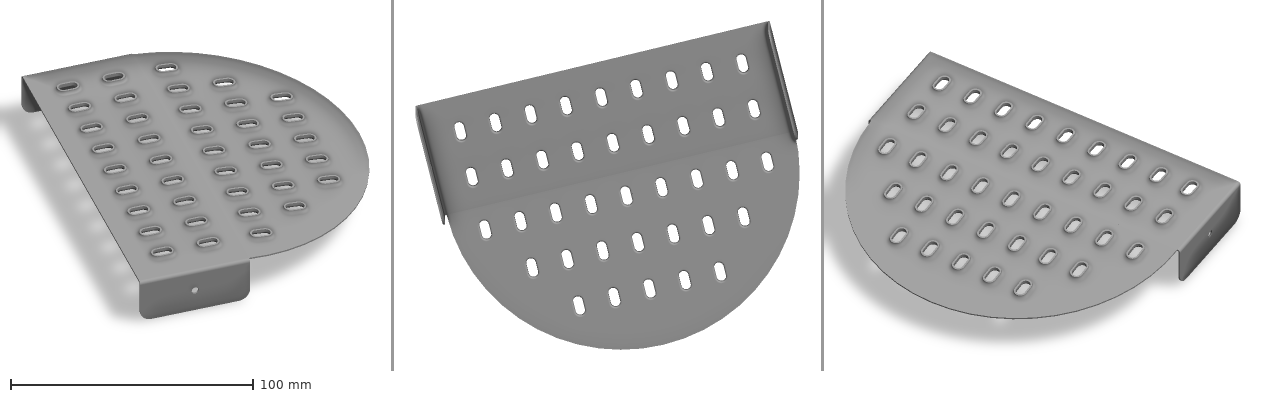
import cadquery as cq
import math

sheet = 0.7
bend_inner = 0.7
bend_outer = bend_inner + sheet

width = 150.8
deck_depth = 48.0

flap_radius = width / 2 - bend_outer
flap_slope = 5.0
fold_level = -sheet / 2

flange_drop = 20.0
flange_corner = 5.0
flange_hole_diameter = 3.0
flange_hole_drop = 10.0

slot_straight = 4.0
slot_hole_width = 4.0
slot_hole_rounding = 0.75
neck_width = 5.5
neck_height = 1.5
neck_flare = neck_height
column_pitch = 15.0
deck_rows = [(-33.0, 9), (-13.0, 9)]
flap_rows = [(10.0, 9), (30.0, 7), (50.0, 5)]


def slot_solid(side_of):
    """Solid with a slot outline, centred on the Z axis, from half of its cross-section."""

    def half_section():
        start = cq.Workplane("XZ", origin=(0, slot_straight / 2, 0)).moveTo(0, -sheet)
        return side_of(start).lineTo(0, neck_height).close()

    half_middle = half_section().extrude(slot_straight)
    end = half_section().revolve(360, (0, 0, 0), (0, 1, 0))
    return half_middle.union(half_middle.mirror("YZ")).union(end).union(end.mirror("XZ"))


def neck_side(start):
    """Collar side that flares through a concave quarter round into the sheet."""
    half_neck = neck_width / 2
    half_base = half_neck + neck_flare
    arc_inset = neck_flare * (1 - math.sqrt(0.5))
    return (
        start.lineTo(half_base, -sheet)
        .lineTo(half_base, 0)
        .threePointArc((half_neck + arc_inset, arc_inset), (half_neck, neck_height))
    )


def hole_side(start):
    """Straight hole side whose lower edge is rounded outwards."""
    half_hole = slot_hole_width / 2
    arc_inset = slot_hole_rounding * (1 - math.sqrt(0.5))
    return (
        start.lineTo(half_hole + slot_hole_rounding, -sheet)
        .threePointArc((half_hole + arc_inset, arc_inset - sheet), (half_hole, slot_hole_rounding - sheet))
        .lineTo(half_hole, neck_height)
    )


def add_raised_slots(plate, rows):
    """Join the collars to a plate and cut the slots through them."""
    spots = [
        (column_pitch * (column - (count - 1) / 2), row_y)
        for row_y, count in rows
        for column in range(count)
    ]
    neck = slot_solid(neck_side).val()
    hole = slot_solid(hole_side).val()
    necks = [neck.moved(cq.Location(cq.Vector(x, y, 0))) for x, y in spots]
    holes = [hole.moved(cq.Location(cq.Vector(x, y, 0))) for x, y in spots]
    return plate.union(cq.Compound.makeCompound(necks)).cut(cq.Compound.makeCompound(holes))


def folded_deck():
    """Flat deck with a side flange bent down at each end."""
    outer = (
        cq.Workplane("XZ")
        .rect(width, 2 * flange_drop)
        .extrude(deck_depth)
        .edges("|Y")
        .fillet(bend_outer)
    )
    inner = (
        cq.Workplane("XZ")
        .rect(width - 2 * sheet, 2 * (flange_drop - sheet))
        .extrude(deck_depth)
        .edges("|Y")
        .fillet(bend_inner)
    )
    upper_half = cq.Workplane("XY").box(width, 2 * deck_depth, flange_drop, centered=(True, True, False))
    deck = outer.cut(inner).intersect(upper_half).translate((0, 0, -flange_drop))
    deck = deck.faces("<Z").edges("|X").fillet(flange_corner)
    side_holes = (
        cq.Workplane("YZ", origin=(-width / 2, 0, 0))
        .center(-deck_depth / 2, -flange_hole_drop)
        .circle(flange_hole_diameter / 2)
        .extrude(width)
    )
    return deck.cut(side_holes)


def half_round_flap():
    """Half disc with its straight edge on the fold, still level."""
    return (
        cq.Workplane("XY", origin=(0, 0, -sheet))
        .moveTo(flap_radius, 0)
        .threePointArc((0, flap_radius), (-flap_radius, 0))
        .close()
        .extrude(sheet)
    )


def fold_point(angle):
    """Y and Z on the outside of the fold, turned from the vertical."""
    turn = math.radians(angle)
    return (-fold_level * math.sin(turn), fold_level * (1 - math.cos(turn)))


def fold_wedge():
    """Thin sector that closes the upper half of the fold between deck and flap."""
    return (
        cq.Workplane("YZ", origin=(-flap_radius, 0, 0))
        .moveTo(0, fold_level)
        .lineTo(0, 0)
        .threePointArc(fold_point(flap_slope / 2), fold_point(flap_slope))
        .close()
        .extrude(2 * flap_radius)
    )


deck = add_raised_slots(folded_deck(), deck_rows)
flap = add_raised_slots(half_round_flap(), flap_rows)
flap = flap.rotate((0, 0, fold_level), (1, 0, fold_level), -flap_slope)
result = deck.union(fold_wedge()).union(flap)